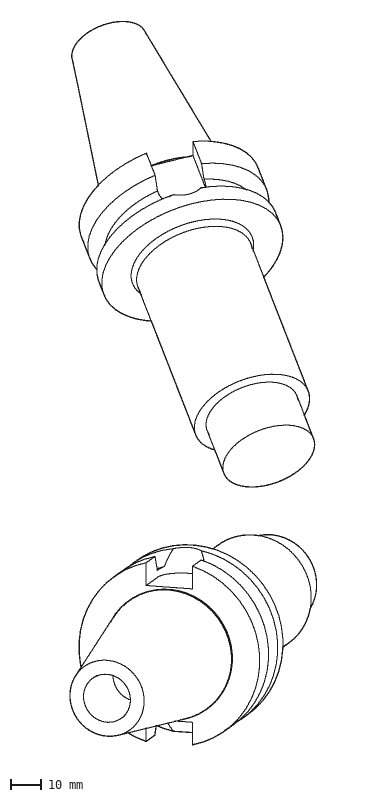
import cadquery as cq

total_length = 177.3
taper_end = 65.5
relief_start = 66.3
flange_start = 67.4
front_rim_end = 77.0
groove_floor_start = 79.6
groove_floor_end = 84.2
rear_rim_start = 86.9
flange_end = 92.5
spindle_start = 94.7
nose_start = 158.7

taper_small_radius = 13.0
taper_large_radius = 22.2
relief_radius = 22.0
flange_diameter = 63.0
flange_radius = flange_diameter / 2
groove_radius = 26.5
collar_radius = 21.3
spindle_radius = 20.0
nose_radius = 16.0

bore_radius = 8.2
bore_depth = 32.0

slot_width = 16.1
slot_end = 88.5
slot_floor = 22.7


def turned_body():
    """Taper, grooved flange, spindle and nose revolved about X."""
    profile = [
        (0, 0),
        (0, taper_small_radius),
        (taper_end, taper_large_radius),
        (relief_start, taper_large_radius),
        (relief_start, relief_radius),
        (flange_start, relief_radius),
        (flange_start, flange_radius),
        (front_rim_end, flange_radius),
        (groove_floor_start, groove_radius),
        (groove_floor_end, groove_radius),
        (rear_rim_start, flange_radius),
        (flange_end, flange_radius),
        (flange_end, collar_radius),
        (spindle_start, spindle_radius),
        (nose_start, spindle_radius),
        (nose_start, nose_radius),
        (total_length, nose_radius),
        (total_length, 0),
    ]
    return cq.Workplane("XY").polyline(profile).close().revolve(360, (0, 0, 0), (1, 0, 0))


def bore():
    return cq.Workplane("YZ").circle(bore_radius).extrude(bore_depth)


def drive_slot(side):
    """Cutter for one slot; side is +1 above the axis and -1 below it."""
    half_width = slot_width / 2
    arc_start = slot_end - half_width
    return (
        cq.Workplane("XY", origin=(0, 0, side * slot_floor))
        .moveTo(flange_start, -half_width)
        .lineTo(arc_start, -half_width)
        .threePointArc((slot_end, 0), (arc_start, half_width))
        .lineTo(flange_start, half_width)
        .close()
        .extrude(side * flange_radius)
    )


result = turned_body().cut(bore())
for side in (1, -1):
    result = result.cut(drive_slot(side))